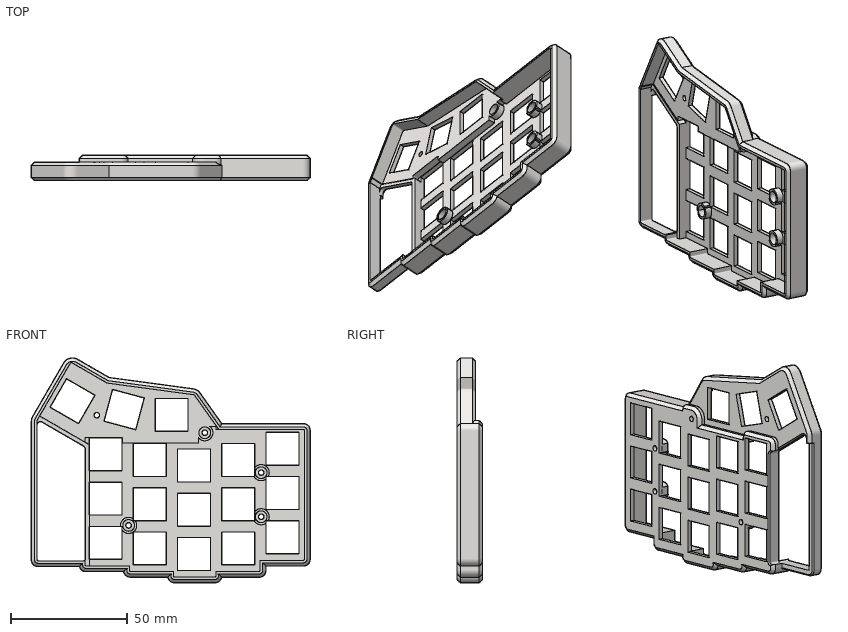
import cadquery as cq
import math


MAIN_HEIGHT = 11.0
THUMB_HEIGHT = 8.0
CONTROLLER_HEIGHT = 6.0
PLATE = 2.0
main_floor = MAIN_HEIGHT - PLATE
thumb_floor = THUMB_HEIGHT - PLATE

WALL = 2.5
CHAMFER = 1.5
SMALL_CHAMFER = 0.6
INNER_WALL = 1.8
INNER_WALL_FRONT = 5.5
MAIN_CORNER = 0.5
THUMB_CORNER = 1.9
LENGTH = 120.2
OVERCUT = 1.2

KEY = 14.0
STAGGER = 2.4
ROWS = 3
COLUMN_STEPS = [2, 1, 0, 1, 3]
FIRST_KEY_X = 25.0
LOWEST_KEY_Z = 5.4
MARGIN_LEFT = INNER_WALL
MARGIN_RIGHT = 2.4
MARGIN_BELOW = LOWEST_KEY_Z - WALL
MARGIN_ABOVE = 0.2
main_left = FIRST_KEY_X - MARGIN_LEFT
main_right = LENGTH - WALL
pitch = (main_right - MARGIN_RIGHT - KEY - FIRST_KEY_X) / (len(COLUMN_STEPS) - 1)
column_rise = (ROWS - 1) * pitch + KEY
key_left = [FIRST_KEY_X + i * pitch for i in range(len(COLUMN_STEPS))]
key_bottom = [LOWEST_KEY_Z + steps * STAGGER for steps in COLUMN_STEPS]

RIGHT_TOP_Z = 66.1
BULGE_RADIUS = 2.8
BULGE_RIGHT = 79.7

THUMB_KEYS = [(17.8, 78.2, -30), (40.0, 74.6, -15), (60.4, 72.3, 0)]
THUMB_KINK_Z = 69.9
THUMB_APEX = (17.1, 95.0)
THUMB_VALLEY = (32.7, 86.0)
THUMB_SHOULDER = (70.2, 81.0)
THUMB_END_X = 80.7
THUMB_BASE_Z = 61.3
THUMB_WALL_END_Z = 66.1

OPENING_BOTTOM = 9.5
OPENING_TOP_LEFT = 70.4
OPENING_SLANT = math.radians(30)
OPENING_TOP_ROUND = 1.5
OPENING_BOTTOM_ROUND = 0.6

SCREW_HOLE = 2.3
INSERT_BORE = 5.0
BOSS = 7.0
THUMB_BOSS = (74.7, 64.6)
BOSSES = [THUMB_BOSS, (99.0, 47.5), (99.0, 28.5), (41.9, 24.8)]
THUMB_HOLE = (28.2, 72.2)


def opening_edge_z(x):
    """Height of the slanted upper edge of the controller opening."""
    return OPENING_TOP_LEFT - (x - WALL) * math.tan(OPENING_SLANT)


def wall_edge_z(x):
    """Height of the far side of the inner wall above that slanted edge."""
    return opening_edge_z(x) + INNER_WALL / math.cos(OPENING_SLANT)


def slant_end():
    """Point where the slanted inner wall meets the rim of the thumb block."""
    rim_slope = (THUMB_APEX[1] - THUMB_KINK_Z) / (THUMB_APEX[0] - WALL)
    x = WALL + (wall_edge_z(WALL) - THUMB_KINK_Z) / (rim_slope + math.tan(OPENING_SLANT))
    return x, wall_edge_z(x)


def prism(outline, start, end):
    """Extrude a closed XZ outline from Y = start to Y = end."""
    return outline.extrude(start - end).translate((0, start, 0))


def polygon(points):
    return cq.Workplane("XZ").polyline(points).close()


def rounded(outline, corner, grow=0.0):
    """Outline with convex corners rounded, then grown evenly outwards."""
    return outline.offset2D(-corner).offset2D(corner + grow)


def cylinder(spot, diameter, start, end):
    return prism(cq.Workplane("XZ").center(*spot).circle(diameter / 2), start, end)


def shell_block(outline, corner, height):
    """Solid block around a pocket outline, chamfered at rim and back."""
    block = prism(rounded(outline, corner, WALL), 0, height)
    return block.faces("<Y or >Y").edges().chamfer(CHAMFER)


def main_outline():
    """Stepped pocket outline around the key columns, counterclockwise from its lower left corner."""
    points = []
    last = len(COLUMN_STEPS) - 1
    for i, bottom in enumerate(key_bottom):
        z = bottom - MARGIN_BELOW
        dropping = i == 0 or bottom < key_bottom[i - 1]
        left = key_left[i] - MARGIN_LEFT if dropping else key_left[i - 1] + KEY + MARGIN_RIGHT
        if i > 0:
            points.append((left, key_bottom[i - 1] - MARGIN_BELOW))
        points.append((left, z))
    bulge_x, bulge_z = THUMB_BOSS
    bulge_top = bulge_z + BULGE_RADIUS
    bulge_left = bulge_x - BULGE_RADIUS
    diagonal = BULGE_RADIUS * math.sqrt(0.5)
    points += [
        (main_right, key_bottom[last] - MARGIN_BELOW),
        (main_right, RIGHT_TOP_Z),
        (BULGE_RIGHT, RIGHT_TOP_Z),
        (BULGE_RIGHT, bulge_top),
        (bulge_x, bulge_top),
    ]
    first_top = key_bottom[0] + column_rise + MARGIN_ABOVE
    second_top = key_bottom[1] + column_rise + MARGIN_ABOVE
    first_right = key_left[0] + KEY + MARGIN_ABOVE
    column_tops = [
        (bulge_left, second_top),
        (first_right, second_top),
        (first_right, first_top),
        (main_left, first_top),
    ]
    outline = cq.Workplane("XZ").polyline(points)
    outline = outline.threePointArc((bulge_x - diagonal, bulge_z + diagonal), (bulge_left, bulge_z))
    return outline.polyline(column_tops, includeCurrent=True).close()


def thumb_outline(base):
    """Thumb outline from its apex clockwise to its right end, closed by the given base points."""
    return polygon([THUMB_APEX, THUMB_VALLEY, THUMB_SHOULDER, (THUMB_END_X, RIGHT_TOP_Z)] + base)


def controller_opening(back):
    """Tool for the controller opening, flared where it leaves the face at Y = back."""
    outline = [
        (WALL, OPENING_BOTTOM),
        (main_left, OPENING_BOTTOM),
        (main_left, opening_edge_z(main_left)),
        (WALL, opening_edge_z(WALL)),
    ]
    cut = prism(polygon(outline), -OVERCUT, back - SMALL_CHAMFER)
    cut = cut.edges("|Y").edges("not <Z").fillet(OPENING_TOP_ROUND)
    cut = cut.edges("|Y").edges("<Z").fillet(OPENING_BOTTOM_ROUND)
    return cut.faces(">Y").wires().toPending().workplane().extrude(SMALL_CHAMFER, taper=-45)


def main_block():
    block = shell_block(main_outline(), MAIN_CORNER, MAIN_HEIGHT)
    return block.cut(controller_opening(MAIN_HEIGHT))


def thumb_block():
    """Thumb block, stopped on the outer left wall at THUMB_WALL_END_Z."""
    base = [(THUMB_END_X, THUMB_BASE_Z), (WALL, THUMB_BASE_Z), (WALL, THUMB_KINK_Z)]
    block = shell_block(thumb_outline(base), THUMB_CORNER, THUMB_HEIGHT)
    wall_end = polygon([(-OVERCUT, 0), (WALL, 0), (WALL, THUMB_WALL_END_Z), (-OVERCUT, THUMB_WALL_END_Z)])
    block = block.cut(prism(wall_end, -OVERCUT, THUMB_HEIGHT + OVERCUT))
    return block.cut(controller_opening(THUMB_HEIGHT))


def controller_frame():
    """Low frame around the controller; its top and right sides end inside the other blocks."""
    core = [
        (WALL, OPENING_BOTTOM),
        (main_left, OPENING_BOTTOM),
        (main_left, THUMB_KINK_Z - WALL),
        (WALL, THUMB_KINK_Z - WALL),
    ]
    frame = prism(rounded(polygon(core), MAIN_CORNER, WALL), 0, CONTROLLER_HEIGHT)
    frame = frame.faces("<Y").edges().chamfer(CHAMFER)
    frame = frame.faces(">Y").edges().chamfer(SMALL_CHAMFER)
    return frame.cut(controller_opening(MAIN_HEIGHT))


def thumb_pocket():
    """Front pocket over the thumb plate, down to the slanted inner wall."""
    base = [
        (THUMB_END_X, THUMB_BASE_Z - WALL),
        (main_left, THUMB_BASE_Z - WALL),
        (main_left, wall_edge_z(main_left)),
        slant_end(),
    ]
    return prism(rounded(thumb_outline(base), MAIN_CORNER), -OVERCUT, thumb_floor)


def controller_pocket():
    """Front pocket over the controller, setting the slanted inner wall back from the rim."""
    bottom = OPENING_BOTTOM + OPENING_BOTTOM_ROUND
    outline = [
        (WALL, bottom),
        (FIRST_KEY_X, bottom),
        (FIRST_KEY_X, wall_edge_z(FIRST_KEY_X)),
        slant_end(),
        (WALL, THUMB_KINK_Z),
    ]
    return prism(polygon(outline), -OVERCUT, INNER_WALL_FRONT)


def inner_wall():
    """Wall between the controller opening and the first key column."""
    bottom = key_bottom[0] - MARGIN_BELOW
    outline = [
        (main_left, bottom),
        (FIRST_KEY_X, bottom),
        (FIRST_KEY_X, wall_edge_z(FIRST_KEY_X)),
        (main_left, wall_edge_z(main_left)),
    ]
    wall = prism(polygon(outline), INNER_WALL_FRONT, main_floor)
    return wall.cut(controller_opening(MAIN_HEIGHT))


def key_hole(x, z, turn=0):
    hole = prism(cq.Workplane("XZ").rect(KEY, KEY), 0, MAIN_HEIGHT + OVERCUT)
    return hole.rotate((0, 0, 0), (0, 1, 0), -turn).translate((x, 0, z))


result = main_block().union(thumb_block()).union(controller_frame())

result = result.cut(prism(rounded(main_outline(), MAIN_CORNER), -OVERCUT, main_floor))
result = result.cut(thumb_pocket())
result = result.cut(controller_pocket())
result = result.union(inner_wall())

for spot in BOSSES:
    result = result.union(cylinder(spot, BOSS, thumb_floor, main_floor))
for spot in BOSSES:
    result = result.cut(cylinder(spot, INSERT_BORE, -OVERCUT, main_floor))
    result = result.cut(cylinder(spot, SCREW_HOLE, -OVERCUT, MAIN_HEIGHT + OVERCUT))
result = result.cut(cylinder(THUMB_HOLE, SCREW_HOLE, -OVERCUT, MAIN_HEIGHT + OVERCUT))

for left, bottom in zip(key_left, key_bottom):
    for row in range(ROWS):
        result = result.cut(key_hole(left + KEY / 2, bottom + row * pitch + KEY / 2))
for x, z, turn in THUMB_KEYS:
    result = result.cut(key_hole(x, z, turn))